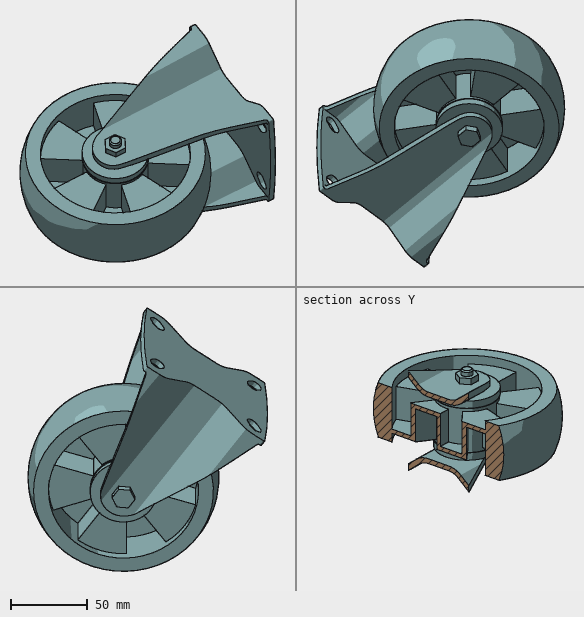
import cadquery as cq
import math


wheel_radius = 62.5
wheel_half_width = 20.0
tread_edge_radius = 58.7
rim_inner_radius = 98.0 / 2
web_half_width = 13.6
web_thickness = 3.4
pockets_per_face = 5

hub_radius = 42.6 / 2
hub_half_length = 21.5
hub_cap_radius = 43.5 / 2
hub_cap_height = 5.5

bolt_radius = 8.0 / 2
bolt_top = 34.5
bolt_chamfer = 1.0
washer_radius = 15.0 / 2
hex_corner_diameter = 15.0
hex_height = 4.5

sheet = 3.9
bracket_half_height = 42.5
valley_height = 26.2
valley_half_flat = 8.5
bend_radius = 12.4
bend_angle = math.radians(39.3)
leg_end_radius = 15.0
leg_taper = math.radians(18.1)
leg_root_fillet = 1.5

plate_back = 92.5
plate_front = plate_back - sheet
plate_half_width = 49.6
plate_corner_half_width = 47.3
plate_corner_radius = 1.2
slot_width = 8.7
slot_length = 12.4
slot_x = 38.9
slot_z = 28.8
slot_angle = 52.0

beyond = 2 * plate_back


def cylinder(radius, bottom, top):
    return cq.Workplane("XY").workplane(offset=bottom).circle(radius).extrude(top - bottom)


def hexagon(bottom):
    return (
        cq.Workplane("XY")
        .workplane(offset=bottom)
        .transformed(rotate=(0, 0, 90))
        .polygon(6, hex_corner_diameter)
        .extrude(hex_height)
    )


def spoke_pockets():
    """Five sector pockets opening upward, with side walls parallel to the spoke lines."""
    half_sector = math.pi / (2 * pockets_per_face)
    apex = web_thickness / 2 / math.sin(half_sector)
    far_x = apex + wheel_radius
    far_y = wheel_radius * math.tan(half_sector)
    floor = web_thickness - web_half_width
    sector = (
        cq.Workplane("XY")
        .workplane(offset=floor)
        .polyline([(apex, 0), (far_x, -far_y), (far_x, far_y)])
        .close()
        .extrude(web_half_width - floor)
    )
    ring = cylinder(rim_inner_radius, floor, web_half_width).cut(
        cylinder(hub_radius, floor, web_half_width)
    )
    pocket = sector.intersect(ring)
    pockets = cq.Workplane("XY")
    for index in range(pockets_per_face):
        pockets = pockets.add(pocket.rotate((0, 0, 0), (0, 0, 1), 360 / pockets_per_face * (index + 0.5)))
    return pockets.combine()


def make_wheel():
    """Crowned wheel whose web zigzags between its two faces, sector by sector."""
    rim = (
        cq.Workplane("XZ")
        .moveTo(rim_inner_radius, -wheel_half_width)
        .lineTo(tread_edge_radius, -wheel_half_width)
        .threePointArc((wheel_radius, 0), (tread_edge_radius, wheel_half_width))
        .lineTo(rim_inner_radius, wheel_half_width)
        .close()
        .revolve(360, (0, 0, 0), (0, 1, 0))
    )
    pockets = spoke_pockets()
    lower_pockets = pockets.rotate((0, 0, 0), (0, 1, 0), 180)
    web = cylinder(rim_inner_radius, -web_half_width, web_half_width).cut(pockets).cut(lower_pockets)
    hub = cylinder(hub_radius, -hub_half_length, hub_half_length)
    cap = cylinder(hub_cap_radius, hub_half_length - hub_cap_height, hub_half_length)
    return web.union(rim).union(hub).union(cap).union(cap.mirror("XY"))


def make_axle():
    sheet_inside = valley_height - sheet
    bolt = cylinder(bolt_radius, -valley_height, bolt_top).faces(">Z").chamfer(bolt_chamfer)
    washers = cylinder(washer_radius, -sheet_inside, sheet_inside)
    nut = hexagon(valley_height)
    head = hexagon(-valley_height - hex_height)
    return bolt.union(washers).union(nut).union(head)


def hat_section(depth):
    """Solid along Y filling everything below the hat-shaped surface that lies depth under the outside."""
    sine = math.sin(bend_angle)
    cosine = math.cos(bend_angle)
    rise = bracket_half_height - valley_height
    slope_run = (rise - 2 * bend_radius * (1 - cosine)) / math.tan(bend_angle)
    hill_x = valley_half_flat + 2 * bend_radius * sine + slope_run

    valley_center = (valley_half_flat, valley_height + bend_radius)
    hill_center = (hill_x, bracket_half_height - bend_radius)
    valley_bend = bend_radius + depth
    hill_bend = bend_radius - depth

    def on_valley(angle):
        return (
            valley_center[0] + valley_bend * math.sin(angle),
            valley_center[1] - valley_bend * math.cos(angle),
        )

    def on_hill(angle):
        return (
            hill_center[0] - hill_bend * math.sin(angle),
            hill_center[1] + hill_bend * math.cos(angle),
        )

    half = (
        cq.Workplane("XZ", origin=(0, plate_back, 0))
        .moveTo(0, 0)
        .lineTo(0, valley_height - depth)
        .lineTo(*on_valley(0))
        .threePointArc(on_valley(bend_angle / 2), on_valley(bend_angle))
        .lineTo(*on_hill(bend_angle))
        .threePointArc(on_hill(bend_angle / 2), on_hill(0))
        .lineTo(plate_half_width, bracket_half_height - depth)
        .lineTo(plate_half_width, 0)
        .close()
        .extrude(beyond)
    )
    return half.union(half.mirror("YZ"))


def leg_outline():
    """Upright block with the leg's tapered sides, its round end and the fillets at its root."""
    tangent_x = leg_end_radius * math.cos(leg_taper)
    tangent_y = -leg_end_radius * math.sin(leg_taper)
    root_x = tangent_x + (plate_front - tangent_y) * math.tan(leg_taper)
    block = (
        cq.Workplane("XY")
        .moveTo(plate_half_width, plate_back)
        .lineTo(plate_half_width, plate_front)
        .lineTo(root_x, plate_front)
        .lineTo(tangent_x, tangent_y)
        .threePointArc((0, -leg_end_radius), (-tangent_x, tangent_y))
        .lineTo(-root_x, plate_front)
        .lineTo(-plate_half_width, plate_front)
        .lineTo(-plate_half_width, plate_back)
        .close()
        .extrude(bracket_half_height)
    )
    root_corners = cq.selectors.BoxSelector(
        (-root_x - sheet / 2, plate_front - sheet / 2, 0),
        (root_x + sheet / 2, plate_front + sheet / 2, bracket_half_height),
    )
    return block.edges("|Z").edges(root_corners).fillet(leg_root_fillet)


def plate_outline():
    """Plate blank with bowed sides and rounded corners."""
    return (
        cq.Workplane("XZ", origin=(0, plate_back, 0))
        .moveTo(-plate_corner_half_width, bracket_half_height)
        .lineTo(plate_corner_half_width, bracket_half_height)
        .threePointArc((plate_half_width, 0), (plate_corner_half_width, -bracket_half_height))
        .lineTo(-plate_corner_half_width, -bracket_half_height)
        .threePointArc((-plate_half_width, 0), (-plate_corner_half_width, bracket_half_height))
        .close()
        .extrude(beyond)
        .edges("|Y")
        .fillet(plate_corner_radius)
    )


def mounting_slots():
    slot = (
        cq.Workplane("XZ", origin=(slot_x, plate_back, slot_z))
        .slot2D(slot_length, slot_width, slot_angle)
        .extrude(sheet)
    )
    right_pair = slot.union(slot.mirror("XY"))
    return right_pair.union(right_pair.mirror("YZ"))


def make_bracket():
    outer = hat_section(0)
    leg = outer.cut(hat_section(sheet)).intersect(leg_outline())
    plate_zone = cq.Workplane("XY").box(beyond, sheet, beyond).translate((0, plate_back - sheet / 2, 0))
    plate_half = outer.intersect(plate_zone)
    half = leg.union(plate_half)
    bracket = half.union(half.mirror("XY")).intersect(plate_outline())
    return bracket.cut(mounting_slots())


result = make_wheel().union(make_axle()).union(make_bracket())